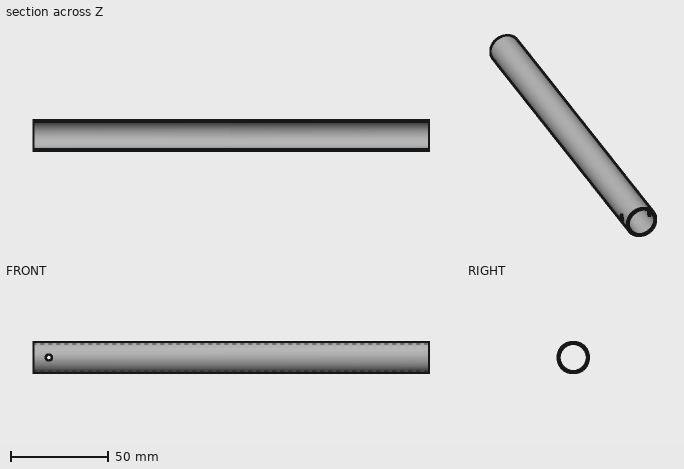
import cadquery as cq

length = 203.0
outer_diameter = 16.0
wall = 1.0
inner_diameter = outer_diameter - 2 * wall

pin_hole_diameter = 3.0
pin_hole_from_end = 8.0

tube = (
    cq.Workplane("YZ")
    .circle(outer_diameter / 2)
    .circle(inner_diameter / 2)
    .extrude(length / 2, both=True)
)

pin_hole = (
    cq.Workplane("XZ")
    .center(pin_hole_from_end - length / 2, 0)
    .circle(pin_hole_diameter / 2)
    .extrude(outer_diameter, both=True)
)

result = tube.cut(pin_hole)